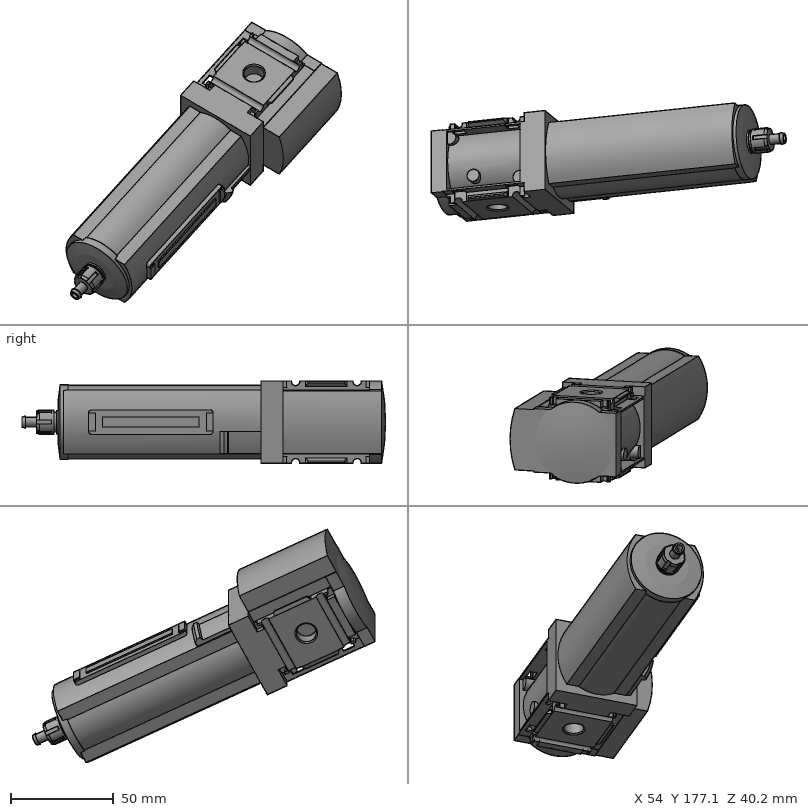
import cadquery as cq


TOTAL_LENGTH = 177.1

HEAD_HALF_WIDTH = 42.0 / 2
HEAD_HALF_HEIGHT = 40.2 / 2
HEAD_TOP = 58.8
DOME_TOP = 60.7
COLLAR_TOP = 10.8
PANEL_TOP = 53.0
PANEL_MIDDLE = (COLLAR_TOP + PANEL_TOP) / 2
PANEL_HALF_WIDTH = 30.3 / 2
FLANGE_Z = 15.5
CAP_Z = 15.8

PORT_DIAMETER = 9.7
PORT_RIM_DIAMETER = 11.0
PORT_DEPTH = 7.0

GROOVE_RADIUS = 2.0
GROOVE_OFFSET = 30.0 / 2
GROOVE_STRAIGHT = 0.4

POCKET_INNER_X = 11.3
POCKET_FLOOR_Z = 16.8
POCKET_LENGTH = 3.7
TIP_WIDTH = 1.2
TIP_LENGTH = 2.0
TIP_BEVEL = 0.7

LIP_REACH = 2.1
LIP_HALF_LENGTH = 10.1
LIP_TIP_HALF_LENGTH = 8.9
LIP_ROOT_TOP = 20.0
LIP_TIP_TOP = 19.7
LIP_TIP_BOTTOM = 19.0
LIP_ROOT_BOTTOM = 17.4

WINDOW_HALF_HEIGHT = 14.7
WINDOW_HALF_LENGTH = 38.0 / 2
CORE_RADIUS = 19.1
SLOT_OUTER_X = 18.8
SLOT_PANEL_CUT = 0.2
SLOT_NEAR_MIDDLE = 10.8
SLOT_FAR_FROM_MIDDLE = 16.8

PEG_DIAMETER = 6.2
PEG_END_X = -19.3
PEG_CENTRES = [(49.8, 11.7), (37.7, -8.5), (14.0, -11.7)]

COVER_FRONT_X = HEAD_HALF_WIDTH + 12.0
COVER_EDGE_X = COVER_FRONT_X - 2.5
COVER_HALF_HEIGHT = 15.2

BOWL_DIAMETER = 36.1
GUARD_HALF_HEIGHT = 15.5
GUARD_CORNER_X = 15.4
GUARD_SIDE_X = 20.0
GUARD_END = -96.2
RIM_DIAMETER = 36.5
RIM_START = -93.9
GUARD_TAPER = 4
RIM_END = -97.8
BOWL_END = -98.6
BOWL_END_DIAMETER = 22.3

NECK_DIAMETER = 9.7
RING_DIAMETER = 11.3
RING_END = -99.5
NUT_DIAMETER = 12.0
NUT_START = -100.8
NUT_END = -109.1
NUT_CHAMFER_LENGTH = 1.5
NUT_CHAMFER_DEPTH = 0.5
NUT_SLOTS = 6
NUT_SLOT_WIDTH = 2.0
NUT_SLOT_DEPTH = 0.9
NUT_SLOT_START = -102.0

STEM_DIAMETER = 5.0
BARB_DIAMETER = 6.0
BARB_START = -114.5
STEM_END = DOME_TOP - TOTAL_LENGTH
BORE_DIAMETER = 3.0
BORE_DEPTH = 7.0

SIGHT_TOP = -23.2
SIGHT_BOTTOM = -84.0
SIGHT_HALF_HEIGHT = 6.0
SIGHT_CORNER_RADIUS = 1.8
SIGHT_INNER_X = 17.7
SIGHT_FACE_X = 21.6
SIGHT_CAP_X = 22.3
SIGHT_CAP_LENGTH = 3.4
SIGHT_CAP_HALF_HEIGHT = 4.5
LENS_TOP = -30.1
LENS_BOTTOM = -77.0
LENS_HALF_HEIGHT = 2.5

LATCH_TOP_Z = -4.6
LATCH_BOTTOM_Z = -15.2
LATCH_THICKNESS = 1.6
LATCH_ROOT = 0.5
CATCH_THICKNESS = 3.2
CATCH_START = -15.8
CATCH_END = -19.8
CATCH_TIP_START = -16.3
CATCH_TIP_END = -18.0


def box(x0, x1, y0, y1, z0, z1):
    """Box between opposite corners."""
    return cq.Workplane("XY").box(x1 - x0, y1 - y0, z1 - z0, centered=False).translate((x0, y0, z0))


def y_cylinder(diameter, y0, y1):
    """Cylinder on the bowl axis."""
    return cq.Workplane("XZ", origin=(0, y1, 0)).circle(diameter / 2).extrude(y1 - y0)


def with_mirrors(shape, *planes):
    """The shape joined with its mirror images in the given planes through the panel middle."""
    for plane in planes:
        shape = shape.union(shape.mirror(plane, (0, PANEL_MIDDLE, 0)))
    return shape


def head_blank():
    """Collar block, flanged middle, port panels and the domed round core."""
    h = HEAD_HALF_HEIGHT
    collar = box(-HEAD_HALF_WIDTH, HEAD_HALF_WIDTH, 0, COLLAR_TOP, -h, h)
    middle = box(-HEAD_HALF_WIDTH, HEAD_HALF_WIDTH, 0, HEAD_TOP, -FLANGE_Z, FLANGE_Z)
    cap = box(-HEAD_HALF_WIDTH, HEAD_HALF_WIDTH, PANEL_TOP, HEAD_TOP, -CAP_Z, CAP_Z)
    panels = box(-PANEL_HALF_WIDTH, PANEL_HALF_WIDTH, 0, PANEL_TOP, -h, h)
    dome_rise = DOME_TOP - HEAD_TOP
    dome_radius = (h**2 + dome_rise**2) / (2 * dome_rise)
    dome_core = (
        cq.Workplane("XY")
        .lineTo(h, 0)
        .lineTo(h, HEAD_TOP)
        .radiusArc((0, DOME_TOP), -dome_radius)
        .close()
        .revolve(360, (0, 0, 0), (0, 1, 0))
    )
    return collar.union(middle).union(cap).union(panels).union(dome_core)


def front_cover():
    """Bowed cover on the +X face."""
    return (
        cq.Workplane("XZ", origin=(0, HEAD_TOP, 0))
        .moveTo(HEAD_HALF_WIDTH, -COVER_HALF_HEIGHT)
        .lineTo(COVER_EDGE_X, -COVER_HALF_HEIGHT)
        .threePointArc((COVER_FRONT_X, 0), (COVER_EDGE_X, COVER_HALF_HEIGHT))
        .lineTo(HEAD_HALF_WIDTH, COVER_HALF_HEIGHT)
        .close()
        .extrude(HEAD_TOP - COLLAR_TOP)
    )


def ports():
    """Blind port with a chamfered rim in each panel."""
    rim = (PORT_RIM_DIAMETER - PORT_DIAMETER) / 2
    port = (
        cq.Workplane("XY", origin=(0, PANEL_MIDDLE, HEAD_HALF_HEIGHT))
        .circle(PORT_DIAMETER / 2)
        .extrude(-PORT_DEPTH)
    )
    chamfer = (
        cq.Workplane("XY", origin=(0, PANEL_MIDDLE, HEAD_HALF_HEIGHT))
        .circle(PORT_RIM_DIAMETER / 2)
        .extrude(-rim, taper=45)
    )
    return with_mirrors(port.union(chamfer), "XY")


def grooves():
    """Round-bottomed grooves across each panel."""
    centre_y = PANEL_MIDDLE + GROOVE_OFFSET
    centre_z = HEAD_HALF_HEIGHT - GROOVE_STRAIGHT
    groove = (
        cq.Workplane("YZ", origin=(-PANEL_HALF_WIDTH, 0, 0))
        .moveTo(centre_y - GROOVE_RADIUS, HEAD_HALF_HEIGHT)
        .lineTo(centre_y - GROOVE_RADIUS, centre_z)
        .threePointArc((centre_y, centre_z - GROOVE_RADIUS), (centre_y + GROOVE_RADIUS, centre_z))
        .lineTo(centre_y + GROOVE_RADIUS, HEAD_HALF_HEIGHT)
        .close()
        .extrude(2 * PANEL_HALF_WIDTH)
    )
    return with_mirrors(groove, "XZ", "XY")


def corner_pockets():
    """Pocket in every panel corner, leaving a bevelled tip at its outer end."""
    pocket_start = PANEL_TOP - POCKET_LENGTH
    pocket = box(POCKET_INNER_X, PANEL_HALF_WIDTH, pocket_start, PANEL_TOP, POCKET_FLOOR_Z, HEAD_HALF_HEIGHT)
    tip = box(
        PANEL_HALF_WIDTH - TIP_WIDTH, PANEL_HALF_WIDTH,
        pocket_start, pocket_start + TIP_LENGTH,
        POCKET_FLOOR_Z, HEAD_HALF_HEIGHT,
    )
    tip = tip.edges("|Z and <X and >Y").chamfer(TIP_BEVEL)
    return with_mirrors(pocket.cut(tip), "YZ", "XZ", "XY")


def lips():
    """Tapered fin along both ends of each panel."""
    tip_x = PANEL_HALF_WIDTH + LIP_REACH
    outline = (
        cq.Workplane("XY", origin=(0, PANEL_MIDDLE, 0))
        .polyline([
            (PANEL_HALF_WIDTH, -LIP_HALF_LENGTH),
            (tip_x, -LIP_TIP_HALF_LENGTH),
            (tip_x, LIP_TIP_HALF_LENGTH),
            (PANEL_HALF_WIDTH, LIP_HALF_LENGTH),
        ])
        .close()
        .extrude(HEAD_HALF_HEIGHT)
    )
    section = (
        cq.Workplane("XZ", origin=(0, PANEL_TOP, 0))
        .polyline([
            (PANEL_HALF_WIDTH, LIP_ROOT_BOTTOM),
            (tip_x, LIP_TIP_BOTTOM),
            (tip_x, LIP_TIP_TOP),
            (PANEL_HALF_WIDTH, LIP_ROOT_TOP),
        ])
        .close()
        .extrude(PANEL_TOP - COLLAR_TOP)
    )
    return with_mirrors(outline.intersect(section), "YZ", "XY")


def window():
    """Opening in the -X side around the round core, with screw pegs standing on the core."""
    opening = box(
        -HEAD_HALF_WIDTH, 0,
        PANEL_MIDDLE - WINDOW_HALF_LENGTH, PANEL_MIDDLE + WINDOW_HALF_LENGTH,
        -WINDOW_HALF_HEIGHT, WINDOW_HALF_HEIGHT,
    )
    opening = opening.cut(y_cylinder(2 * CORE_RADIUS, 0, HEAD_TOP))
    pegs = (
        cq.Workplane("YZ", origin=(PEG_END_X, 0, 0))
        .pushPoints(PEG_CENTRES)
        .circle(PEG_DIAMETER / 2)
        .extrude(-PEG_END_X)
    )
    return opening.cut(pegs)


def flange_slots():
    """Slots through the -X flanges at the ends of the grooves, just notching the panels."""
    slot = box(
        -SLOT_OUTER_X, SLOT_PANEL_CUT - PANEL_HALF_WIDTH,
        PANEL_MIDDLE + SLOT_NEAR_MIDDLE, PANEL_MIDDLE + SLOT_FAR_FROM_MIDDLE,
        WINDOW_HALF_HEIGHT, HEAD_HALF_HEIGHT,
    )
    return with_mirrors(slot, "XZ", "XY")


def make_head():
    head = head_blank().union(front_cover()).union(lips())
    for cutter in (ports(), grooves(), corner_pockets(), window(), flange_slots()):
        head = head.cut(cutter)
    return head


def bowl_shell():
    """Round bowl with a rim and a conical end."""
    radius = BOWL_DIAMETER / 2
    rim_radius = RIM_DIAMETER / 2
    return (
        cq.Workplane("XY")
        .polyline([
            (0, 0),
            (radius, 0),
            (radius, RIM_START),
            (rim_radius, RIM_START),
            (rim_radius, RIM_END),
            (BOWL_END_DIAMETER / 2, BOWL_END),
            (0, BOWL_END),
        ])
        .close()
        .revolve(360, (0, 0, 0), (0, 1, 0))
    )


def guard_outline(y):
    """Closed outline with two flat and two bowed sides."""
    return (
        cq.Workplane("XZ", origin=(0, y, 0))
        .moveTo(-GUARD_CORNER_X, -GUARD_HALF_HEIGHT)
        .lineTo(GUARD_CORNER_X, -GUARD_HALF_HEIGHT)
        .threePointArc((GUARD_SIDE_X, 0), (GUARD_CORNER_X, GUARD_HALF_HEIGHT))
        .lineTo(-GUARD_CORNER_X, GUARD_HALF_HEIGHT)
        .threePointArc((-GUARD_SIDE_X, 0), (-GUARD_CORNER_X, -GUARD_HALF_HEIGHT))
        .close()
    )


def guard():
    """Guard around the bowl, tapered at its end."""
    straight = guard_outline(0).extrude(-RIM_START)
    end = guard_outline(RIM_START).extrude(RIM_START - GUARD_END, taper=GUARD_TAPER)
    return straight.union(end)


def drain_valve():
    """Drain nut with grip slots and a bored, barbed stem."""
    nut_radius = NUT_DIAMETER / 2
    stem_radius = STEM_DIAMETER / 2
    barb_radius = BARB_DIAMETER / 2
    valve = (
        cq.Workplane("XY")
        .polyline([
            (0, BOWL_END),
            (RING_DIAMETER / 2, BOWL_END),
            (RING_DIAMETER / 2, RING_END),
            (NECK_DIAMETER / 2, RING_END),
            (NECK_DIAMETER / 2, NUT_START),
            (nut_radius, NUT_START),
            (nut_radius, NUT_END + NUT_CHAMFER_LENGTH),
            (nut_radius - NUT_CHAMFER_DEPTH, NUT_END),
            (stem_radius, NUT_END),
            (stem_radius, BARB_START),
            (barb_radius, BARB_START),
            (stem_radius, STEM_END),
            (0, STEM_END),
        ])
        .close()
        .revolve(360, (0, 0, 0), (0, 1, 0))
    )
    slot = box(
        nut_radius - NUT_SLOT_DEPTH, nut_radius,
        NUT_END, NUT_SLOT_START,
        -NUT_SLOT_WIDTH / 2, NUT_SLOT_WIDTH / 2,
    )
    for i in range(NUT_SLOTS):
        valve = valve.cut(slot.rotate((0, 0, 0), (0, 1, 0), i * 360 / NUT_SLOTS))
    return valve.cut(y_cylinder(BORE_DIAMETER, STEM_END, STEM_END + BORE_DEPTH))


def sight_glass():
    """Level indicator on the +X side: frame, end caps and lens."""
    frame = box(
        SIGHT_INNER_X, SIGHT_FACE_X, SIGHT_BOTTOM, SIGHT_TOP, -SIGHT_HALF_HEIGHT, SIGHT_HALF_HEIGHT,
    )
    frame = frame.edges("|X").fillet(SIGHT_CORNER_RADIUS)
    lens = box(SIGHT_INNER_X, SIGHT_CAP_X, LENS_BOTTOM, LENS_TOP, -LENS_HALF_HEIGHT, LENS_HALF_HEIGHT)
    glass = frame.union(lens)
    for start in (SIGHT_BOTTOM, SIGHT_TOP - SIGHT_CAP_LENGTH):
        cap = box(
            SIGHT_INNER_X, SIGHT_CAP_X,
            start, start + SIGHT_CAP_LENGTH,
            -SIGHT_CAP_HALF_HEIGHT, SIGHT_CAP_HALF_HEIGHT,
        )
        glass = glass.union(cap)
    return glass


def latch():
    """Latch strip following the bowed side below the sight glass, with a raised catch at its end."""
    bow = GUARD_SIDE_X - GUARD_CORNER_X
    side_radius = (GUARD_HALF_HEIGHT**2 + bow**2) / (2 * bow)
    side_centre_x = GUARD_SIDE_X - side_radius
    inner_x = GUARD_SIDE_X - LATCH_ROOT
    strip_x = GUARD_SIDE_X + LATCH_THICKNESS
    catch_x = GUARD_SIDE_X + CATCH_THICKNESS
    ring = (
        cq.Workplane("XY")
        .polyline([
            (inner_x, 0),
            (strip_x, 0),
            (strip_x, CATCH_START),
            (catch_x, CATCH_TIP_START),
            (catch_x, CATCH_TIP_END),
            (strip_x, CATCH_END),
            (inner_x, CATCH_END),
        ])
        .close()
        .revolve(360, (side_centre_x, 0, 0), (side_centre_x, 1, 0))
    )
    return ring.intersect(box(0, catch_x, CATCH_END, 0, LATCH_BOTTOM_Z, LATCH_TOP_Z))


def make_bowl():
    return bowl_shell().union(guard()).union(drain_valve()).union(sight_glass()).union(latch())


head = make_head()
bowl = make_bowl()
result = cq.Compound.makeCompound([head.val(), bowl.val()])